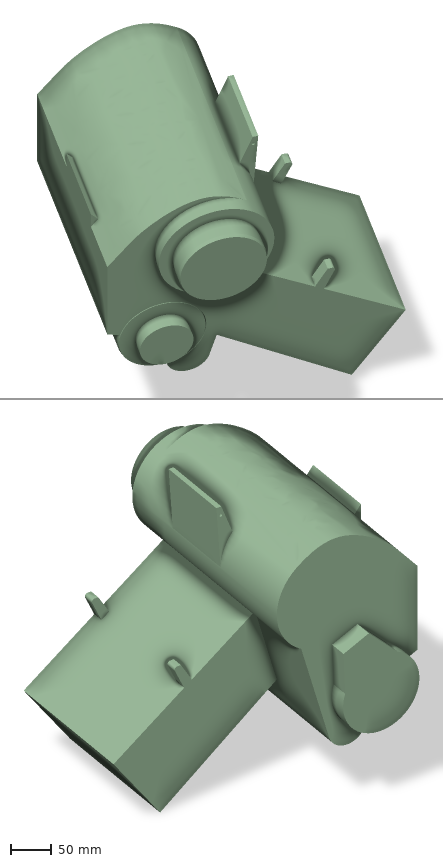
import cadquery as cq
import math


housing_length = 300.5
drum_radius = 150.0 / 2
collar_length = 19.0
drum_axis = (0, 0)

front_y = -136.5
front_top_z = -6.0
front_bottom_z = -132.5
underside_angle = 23.5
lid_start_angle = 53.3
lid_crown = (-17.5, 82.0)
lid_shoulder = (-95.0, 42.0)
back_corner_angle = -59.2

lobe_center = (-31.2, -205.5)
lobe_radius = 29.0
lobe_front_angle = 192

handle_start_x = 124.5
handle_length = 105.5
handle_top_z = 93.5
handle_outer_y = 81.0
handle_inner_y = 74.0
handle_inner_foot = (57.0, 48.5)
handle_outer_angle = 2
handle_hole_diameter = 4.5
handle_hole_center = (74.5, 80.5)
tooth_foot = (-127.0, 5.5)
tooth_top_z = 17.0
tooth_root = (-127.0, front_top_z)

roller_center = (-65.0, -155.0)
roller_radius = 115.0 / 2
roller_overhang = 25.0
eased_length = 5.0
eased_depth = 1.2
spindle_radius = 70.0 / 2
lug_back_top = (-8.0, -76.0)
lug_front_top = (-46.3, -59.2)
lug_front_angle = 156.5
lens_length = 30.5

tray_start_x = 102.0
tray_back_top = (251.5, -213.5)
tray_back_bottom = (181.5, -312.5)
tray_front_bottom_z = -179.8
prong_width = 16.0
prong_tip_radius = 8.0 / 2
prong_tip_center = (155.5, -107.0)
prong_tip_front = (150.0, -103.0)
prong_foot_front = (134.0, -130.3)
prong_foot_back = (145.5, -138.5)
prong_root = (137.0, -138.5)


def polar(center, radius, degrees):
    """Point at the given radius and angle around a center."""
    angle = math.radians(degrees)
    return (center[0] + radius * math.cos(angle), center[1] + radius * math.sin(angle))


def touch_angle(point, center, radius, side):
    """Angle around a circle, in degrees, where a line from an outside point is tangent to it."""
    dy = point[0] - center[0]
    dz = point[1] - center[1]
    opening = math.degrees(math.acos(radius / math.hypot(dy, dz)))
    return math.degrees(math.atan2(dz, dy)) + side * opening


def section(start_x):
    """Cross-section plane at a place along X."""
    return cq.Workplane("YZ").workplane(offset=start_x)


def cylinder(center, radius, start_x, length):
    return section(start_x).center(*center).circle(radius).extrude(length)


def prism(points, start_x, length):
    return section(start_x).polyline(points).close().extrude(length)


back_corner = polar(drum_axis, drum_radius, back_corner_angle)
back_touch = polar(lobe_center, lobe_radius, touch_angle(back_corner, lobe_center, lobe_radius, -1))


def make_casing():
    """Lid, front wall and lower lobe, with the recess that holds the roller."""
    lid_start = polar(drum_axis, drum_radius, lid_start_angle)
    start_tangent = polar((0, 0), 1, lid_start_angle + 90)
    lid_end = (front_y, front_top_z)
    end_tangent = (lid_end[0] - lid_shoulder[0], lid_end[1] - lid_shoulder[1])
    underside_drop = (roller_center[0] - front_y) * math.tan(math.radians(underside_angle))
    underside_end = (roller_center[0], front_bottom_z - underside_drop)
    casing = (
        section(0)
        .moveTo(*lid_start)
        .spline([lid_crown, lid_shoulder, lid_end], tangents=[start_tangent, end_tangent], includeCurrent=True)
        .lineTo(front_y, front_bottom_z)
        .lineTo(*underside_end)
        .lineTo(*polar(lobe_center, lobe_radius, lobe_front_angle))
        .threePointArc(polar(lobe_center, lobe_radius, -90), back_touch)
        .lineTo(*back_corner)
        .close()
        .extrude(housing_length)
    )
    return casing.cut(cylinder(roller_center, roller_radius, 0, housing_length))


def make_handle():
    points = [
        (handle_outer_y, handle_top_z),
        (handle_inner_y, handle_top_z),
        handle_inner_foot,
        drum_axis,
        polar(drum_axis, drum_radius, handle_outer_angle),
    ]
    handle = prism(points, handle_start_x, handle_length)
    return handle.cut(cylinder(handle_hole_center, handle_hole_diameter / 2, handle_start_x, handle_length))


def make_tooth():
    points = [tooth_foot, (front_y, tooth_top_z), (front_y, front_top_z), tooth_root]
    return prism(points, handle_start_x, handle_length)


def make_housing():
    drum = cylinder(drum_axis, drum_radius, 0, housing_length + collar_length)
    return make_casing().union(drum).union(make_handle()).union(make_tooth())


def make_eased_cylinder(center, start_x, length):
    """Cylinder of the roller's diameter with a slightly tapered right-hand edge."""
    straight_length = length - eased_length
    eased_end = (
        section(start_x + straight_length)
        .center(*center)
        .circle(roller_radius)
        .workplane(offset=eased_length)
        .circle(roller_radius - eased_depth)
        .loft(ruled=True)
    )
    return cylinder(center, roller_radius, start_x, straight_length).union(eased_end)


def make_roller():
    lug_points = [
        lug_back_top,
        lug_front_top,
        polar(roller_center, roller_radius, lug_front_angle),
        polar(roller_center, roller_radius, lug_front_angle - 180),
    ]
    lug = prism(lug_points, -roller_overhang, roller_overhang)
    spindle = cylinder(roller_center, spindle_radius, housing_length, collar_length)
    roller = make_eased_cylinder(roller_center, -roller_overhang, roller_overhang + housing_length)
    return roller.union(lug).union(spindle)


def make_lens():
    return make_eased_cylinder(drum_axis, housing_length + collar_length, lens_length)


def make_prong(start_x):
    back_angle = touch_angle(prong_foot_back, prong_tip_center, prong_tip_radius, 1)
    tip_angle = 90
    return (
        section(start_x)
        .moveTo(*prong_foot_front)
        .lineTo(*prong_tip_front)
        .lineTo(*polar(prong_tip_center, prong_tip_radius, tip_angle))
        .threePointArc(
            polar(prong_tip_center, prong_tip_radius, (tip_angle + back_angle) / 2),
            polar(prong_tip_center, prong_tip_radius, back_angle),
        )
        .lineTo(*prong_foot_back)
        .lineTo(*prong_root)
        .close()
        .extrude(prong_width)
    )


def make_tray():
    wall_share = (tray_front_bottom_z - back_corner[1]) / (back_touch[1] - back_corner[1])
    front_bottom_y = back_corner[0] + wall_share * (back_touch[0] - back_corner[0])
    points = [tray_back_top, tray_back_bottom, (front_bottom_y, tray_front_bottom_z), back_corner]
    tray = prism(points, tray_start_x, housing_length - tray_start_x)
    for prong_x in (tray_start_x, housing_length - prong_width):
        tray = tray.union(make_prong(prong_x))
    return tray


housing = make_housing()
tray = make_tray()
roller = make_roller()
lens = make_lens()

result = cq.Compound.makeCompound([housing.val(), tray.val(), roller.val(), lens.val()])